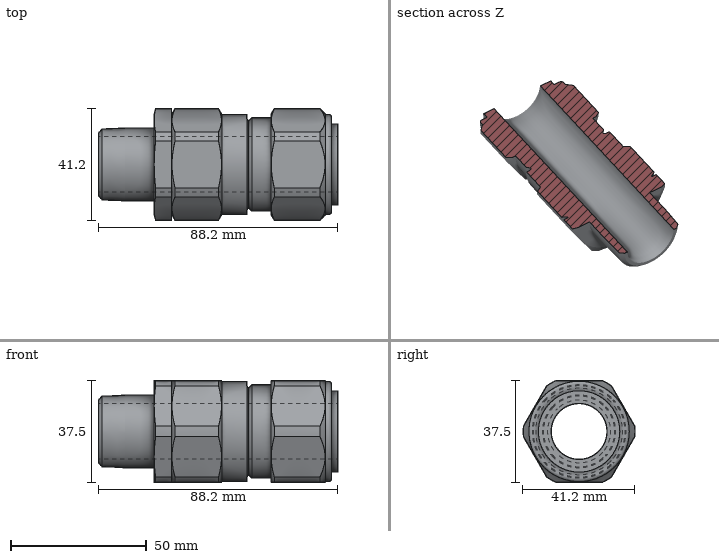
import cadquery as cq
import math

across_flats = 37.5
corner_radius = 20.625
face_radius = 18.5
chamfer_drop = corner_radius - face_radius
chamfer_slope = math.tan(math.radians(30))
nut_chamfer = chamfer_drop * chamfer_slope

taper_end = 9.85
flange_start = 20.5
body_nut_start = 27.0
body_nut_end = 45.5
groove_start = 54.75
groove_bottom = 55.3
rear_nut_start = 63.6
rear_nut_end = 83.8
collar_end = 86.0
total_length = 88.25

spigot_radius = 13.45
taper_tip_radius = 13.1
entry_chamfer_length = 1.4
entry_face_radius = 11.6

body_radius = face_radius
rear_body_radius = 17.25
groove_radius = 16.0
groove_shoulder_radius = 16.9
groove_end = groove_bottom + rear_body_radius - groove_radius

collar_rounding = 1.15
seal_radius = 15.0

flange_chamfer = 0.6
bore_radius = 10.25


def revolve_about_x(profile):
    """Turn an (x, radius) profile around the X axis."""
    return profile.close().revolve(360, (0, 0, 0), (1, 0, 0))


def hexagon(start, end, front_chamfer, rear_chamfer):
    """Hexagon with flats facing +Z and -Z, its corners turned and chamfered at the ends."""
    across_corners = across_flats / math.cos(math.pi / 6)
    prism = (
        cq.Workplane("YZ", origin=(start, 0, 0))
        .polygon(6, across_corners)
        .extrude(end - start)
    )
    envelope = cq.Workplane("XY").moveTo(start, 0).lineTo(start, face_radius)
    envelope = envelope.lineTo(start + front_chamfer, corner_radius)
    envelope = envelope.lineTo(end - rear_chamfer, corner_radius)
    if rear_chamfer:
        envelope = envelope.lineTo(end, face_radius)
    envelope = envelope.lineTo(end, 0)
    return prism.intersect(revolve_about_x(envelope))


def turned_core():
    """All round portions: tapered spigot, grooved body, rounded collar and seal ring."""
    collar_round_start = collar_end - collar_rounding
    round_step = collar_rounding * (1 - math.sqrt(0.5))
    profile = (
        cq.Workplane("XY")
        .moveTo(0, 0)
        .lineTo(0, entry_face_radius)
        .lineTo(entry_chamfer_length, taper_tip_radius)
        .lineTo(taper_end, spigot_radius)
        .lineTo(flange_start, spigot_radius)
        .lineTo(flange_start, body_radius)
        .lineTo(groove_start, body_radius)
        .lineTo(groove_start, groove_shoulder_radius)
        .lineTo(groove_bottom, groove_radius)
        .lineTo(groove_end, rear_body_radius)
        .lineTo(rear_nut_end, rear_body_radius)
        .lineTo(rear_nut_end, face_radius)
        .lineTo(collar_round_start, face_radius)
        .threePointArc(
            (collar_end - round_step, face_radius - round_step),
            (collar_end, face_radius - collar_rounding),
        )
        .lineTo(collar_end, seal_radius)
        .lineTo(total_length, seal_radius)
        .lineTo(total_length, 0)
    )
    return revolve_about_x(profile)


flange = hexagon(flange_start, body_nut_start, flange_chamfer, 0)
body_nut = hexagon(body_nut_start, body_nut_end, nut_chamfer, nut_chamfer)

rear_nut = hexagon(rear_nut_start, rear_nut_end, nut_chamfer, chamfer_drop)

bore = cq.Workplane("YZ").circle(bore_radius).extrude(total_length)

result = turned_core().union(flange).union(body_nut).union(rear_nut).cut(bore)